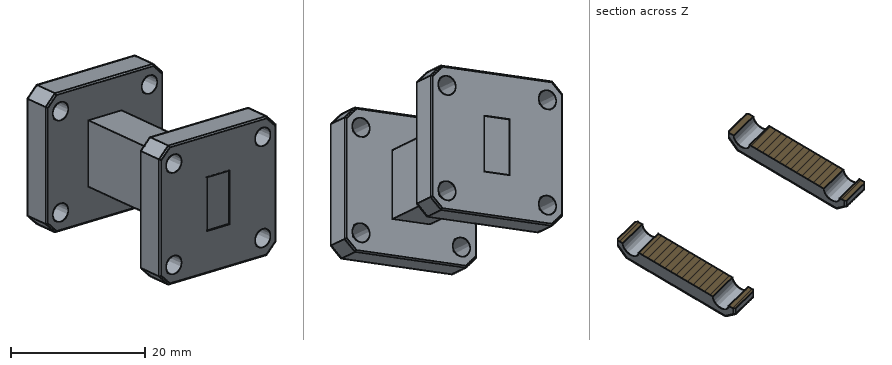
import cadquery as cq

length = 31.75
flange_size = 22.35
flange_thickness = 4.826
corner_cut = 1.78
edge_chamfer = 0.254
tube_width = 6.35
tube_height = 10.668
aperture_width = 4.318
aperture_height = 8.636
aperture_depth = 0.254
hole_diameter = 2.95
hole_pitch_y = 17.04
hole_pitch_z = 16.28

x_min = -length / 2
x_max = length / 2
tube_length = length - 2 * flange_thickness


def make_flange(x_start):
    """Bevelled flange with four bolt holes, extending in +X from x_start."""
    plate = (
        cq.Workplane("YZ", origin=(x_start, 0, 0))
        .rect(flange_size, flange_size)
        .extrude(flange_thickness)
        .edges("|X")
        .chamfer(corner_cut)
        .faces("<X or >X")
        .edges()
        .chamfer(edge_chamfer)
    )
    holes = (
        cq.Workplane("YZ", origin=(x_start, 0, 0))
        .rect(hole_pitch_y, hole_pitch_z, forConstruction=True)
        .vertices()
        .circle(hole_diameter / 2)
        .extrude(flange_thickness)
    )
    return plate.cut(holes)


def make_aperture(x_start):
    """Rectangular recess volume, extending in +X from x_start."""
    return (
        cq.Workplane("YZ", origin=(x_start, 0, 0))
        .rect(aperture_width, aperture_height)
        .extrude(aperture_depth)
    )


tube = cq.Workplane("XY").box(tube_length, tube_width, tube_height)

result = (
    tube
    .union(make_flange(x_min))
    .union(make_flange(x_max - flange_thickness))
    .cut(make_aperture(x_min))
    .cut(make_aperture(x_max - aperture_depth))
)